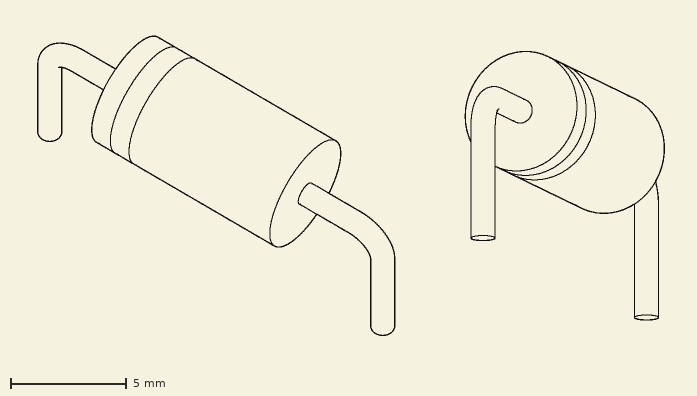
import cadquery as cq

overall_length = 18.84
case_diameter = 5.3
case_length = 9.51
band_width = 1.0
band_offset = 1.0
lead_diameter = 1.05
bend_radius = 1.49
overall_height = 9.1

case_start = -case_length / 2
case_end = case_length / 2
band_start = case_start + band_offset
band_end = band_start + band_width
lead_reach = (overall_length - lead_diameter) / 2
lead_tip_z = case_diameter / 2 - overall_height


def case_section(start_x, end_x):
    """Solid cylindrical length of the case between two X positions."""
    return (
        cq.Workplane("YZ", origin=(start_x, 0, 0))
        .circle(case_diameter / 2)
        .extrude(end_x - start_x)
    )


def make_lead(side):
    """Round wire leaving one case end and bent down; side is -1 or +1 along X."""
    case_face_x = side * case_length / 2
    path = (
        cq.Workplane("XZ")
        .moveTo(case_face_x, 0)
        .lineTo(side * (lead_reach - bend_radius), 0)
        .tangentArcPoint((side * lead_reach, -bend_radius), relative=False)
        .lineTo(side * lead_reach, lead_tip_z)
    )
    return (
        cq.Workplane("YZ", origin=(case_face_x, 0, 0))
        .circle(lead_diameter / 2)
        .sweep(path)
    )


end_cap = case_section(case_start, band_start)
polarity_band = case_section(band_start, band_end)
main_case = case_section(band_end, case_end)
leads = [make_lead(side) for side in (-1, 1)]

result = cq.Compound.makeCompound([
    end_cap.val(),
    polarity_band.val(),
    main_case.val(),
    *[lead.val() for lead in leads],
])